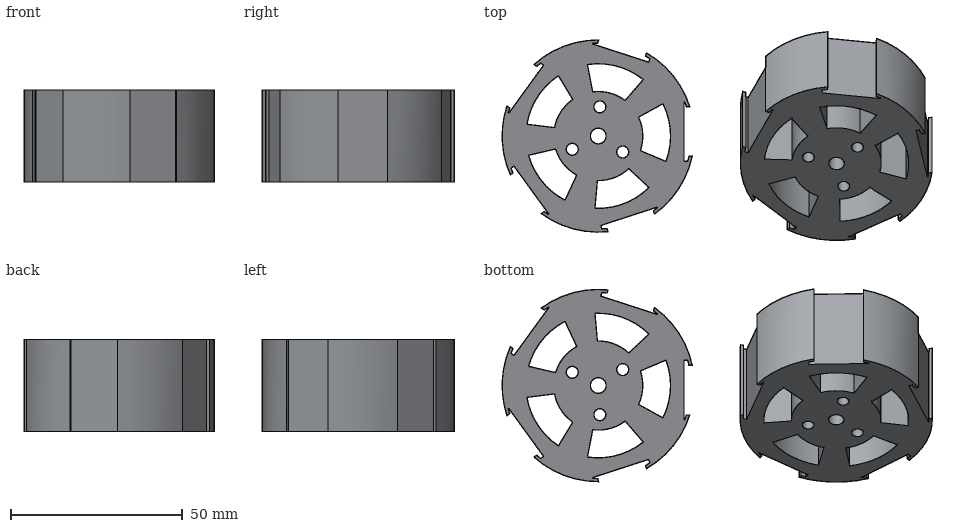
import cadquery as cq
import math

height = 26.8
outer_radius = 28.0
segments = 5
segment_pitch = 360.0 / segments

seat_distance = 25.0
seat_upper_end = 9.9
seat_lower_end = -7.3
lip_thickness = 1.0
lip_inner_radius = outer_radius - lip_thickness
mouth_upper_end = 8.5
mouth_lower_end = -5.85
rim_clearance = 1.0

window_inner_radius = 13.0
window_outer_radius = 21.0
window_center_angle = 3.0
window_inner_half_angle = 22.0
window_outer_half_angle = 23.5

shaft_diameter = 4.5
screw_diameter = 3.4
screw_circle_radius = 8.5
screw_count = 3
screw_start_angle = 86.9


def polar(radius, angle):
    radians = math.radians(angle)
    return (radius * math.cos(radians), radius * math.sin(radians))


def slab(near_x, far_x, lower_y, upper_y):
    """Full-height block spanning the given X and Y limits."""
    size_x = far_x - near_x
    size_y = upper_y - lower_y
    return cq.Workplane("XY").box(size_x, size_y, height, centered=False).translate((near_x, lower_y, 0))


def make_magnet_seat():
    """Slot facing +X: a wide part under the lips and a narrower mouth through the rim."""
    far_x = outer_radius + rim_clearance
    lip_inner_disc = cq.Workplane("XY").circle(lip_inner_radius).extrude(height)
    seat = slab(seat_distance, far_x, seat_lower_end, seat_upper_end).intersect(lip_inner_disc)
    mouth = slab(seat_distance, far_x, mouth_lower_end, mouth_upper_end)
    return seat.union(mouth)


def make_window():
    """Arc-shaped opening whose sides spread slightly more than radial lines."""
    inner_start = window_center_angle - window_inner_half_angle
    inner_end = window_center_angle + window_inner_half_angle
    outer_start = window_center_angle - window_outer_half_angle
    outer_end = window_center_angle + window_outer_half_angle
    return (
        cq.Workplane("XY")
        .moveTo(*polar(window_inner_radius, inner_start))
        .lineTo(*polar(window_outer_radius, outer_start))
        .threePointArc(
            polar(window_outer_radius, window_center_angle),
            polar(window_outer_radius, outer_end),
        )
        .lineTo(*polar(window_inner_radius, inner_end))
        .threePointArc(
            polar(window_inner_radius, window_center_angle),
            polar(window_inner_radius, inner_start),
        )
        .close()
        .extrude(height)
    )


def make_holes():
    """Central shaft hole and the ring of screw holes, all through."""
    holes = cq.Workplane("XY").circle(shaft_diameter / 2).extrude(height)
    screw_centers = [
        polar(screw_circle_radius, screw_start_angle + index * 360.0 / screw_count)
        for index in range(screw_count)
    ]
    screws = cq.Workplane("XY").pushPoints(screw_centers).circle(screw_diameter / 2).extrude(height)
    return holes.union(screws)


body = cq.Workplane("XY").circle(outer_radius).extrude(height)
magnet_seat = make_magnet_seat()
window = make_window()
for index in range(segments):
    angle = index * segment_pitch
    body = body.cut(magnet_seat.rotate((0, 0, 0), (0, 0, 1), angle))
    body = body.cut(window.rotate((0, 0, 0), (0, 0, 1), angle))

result = body.cut(make_holes())